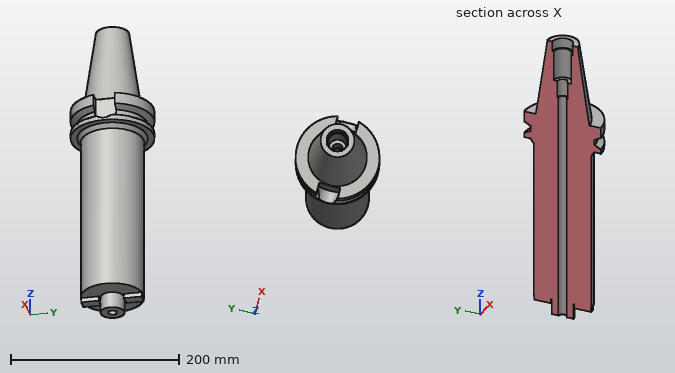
import cadquery as cq

total_height = 371.8

taper_length = 102.0
taper_top_radius = 20.0
gauge_radius = 35.0
gauge_height = total_height - taper_length

flange_diameter = 100.0
flange_radius = flange_diameter / 2
flange_top = 268.5
upper_rim_thickness = 14.0
groove_radius = 42.0
groove_flank_height = 4.5
groove_floor_width = 6.5
lower_rim_thickness = 6.5
flange_foot_radius = 42.0
flange_foot_height = 5.5

body_diameter = 75.5
body_radius = body_diameter / 2
pilot_length = 20.0
pilot_diameter = 28.5
pilot_radius = pilot_diameter / 2
key_width = 13.0
key_height = 5.5
key_inner_reach = 15.2
key_outer_reach = 36.8

slot_width = 26.0
slot_floor_reach = 35.5
slot_bottom = 235.7

socket_radius = 13.0
socket_depth = 13.0
thread_radius = 11.0
thread_depth = 52.0
coolant_counterbore_radius = 6.5
coolant_counterbore_depth = 74.5
coolant_radius = 5.2


def revolved_blank():
    """Taper, grooved flange, body and pilot turned about Z."""
    upper_rim_bottom = flange_top - upper_rim_thickness
    groove_top = upper_rim_bottom - groove_flank_height
    groove_bottom = groove_top - groove_floor_width
    lower_rim_top = groove_bottom - groove_flank_height
    lower_rim_bottom = lower_rim_top - lower_rim_thickness
    profile = [
        (0, 0),
        (pilot_radius, 0),
        (pilot_radius, pilot_length),
        (body_radius, pilot_length),
        (body_radius, lower_rim_bottom - flange_foot_height),
        (flange_foot_radius, lower_rim_bottom),
        (flange_radius, lower_rim_bottom),
        (flange_radius, lower_rim_top),
        (groove_radius, groove_bottom),
        (groove_radius, groove_top),
        (flange_radius, upper_rim_bottom),
        (flange_radius, flange_top),
        (gauge_radius, flange_top),
        (gauge_radius, gauge_height),
        (taper_top_radius, total_height),
        (0, total_height),
    ]
    return cq.Workplane("XZ").polyline(profile).close().revolve(360, (0, 0, 0), (0, 1, 0))


def drive_slot(side):
    """Round-bottomed slot cutter, open at the top and rim of the flange; side is +1 or -1 along X."""
    radius = slot_width / 2
    return (
        cq.Workplane("YZ", origin=(side * slot_floor_reach, 0, 0))
        .moveTo(-radius, flange_top)
        .lineTo(-radius, slot_bottom + radius)
        .threePointArc((0, slot_bottom), (radius, slot_bottom + radius))
        .lineTo(radius, flange_top)
        .close()
        .extrude(side * flange_radius)
    )


def drive_key(side):
    """Key under the body face; side is +1 or -1 along Y."""
    key_length = key_outer_reach - key_inner_reach
    key_center = side * (key_inner_reach + key_outer_reach) / 2
    return (
        cq.Workplane("XY", origin=(0, key_center, pilot_length - key_height))
        .rect(key_width, key_length)
        .extrude(key_height)
    )


def bore_step(radius, depth):
    """Cylinder cutter running down from the small end of the taper."""
    return cq.Workplane("XY", origin=(0, 0, total_height)).circle(radius).extrude(-depth)


result = revolved_blank()
for side in (-1, 1):
    result = result.cut(drive_slot(side))
    result = result.union(drive_key(side))

bore_steps = [
    (socket_radius, socket_depth),
    (thread_radius, thread_depth),
    (coolant_counterbore_radius, coolant_counterbore_depth),
    (coolant_radius, total_height),
]
for radius, depth in bore_steps:
    result = result.cut(bore_step(radius, depth))